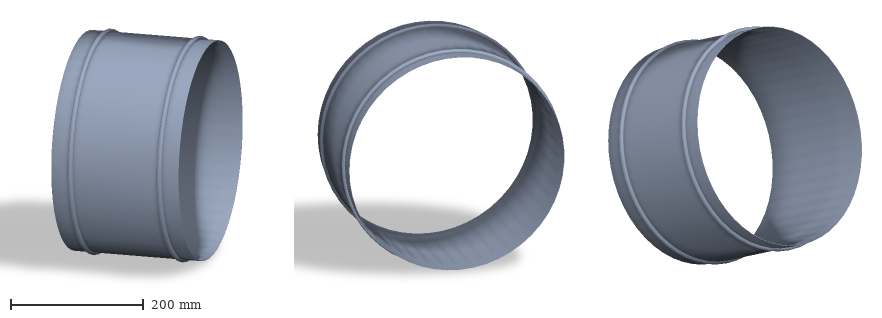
import cadquery as cq

length = 200.0
bead_outer_diameter = 342.0
bead_height = 4.0
bead_width = 8.2
bead_inset = 30.0
wall = 0.7

tube_radius = bead_outer_diameter / 2 - bead_height
bore_radius = tube_radius - wall
bead_positions = (-length / 2 + bead_inset, length / 2 - bead_inset)

section = (
    cq.Workplane("XY")
    .moveTo(-length / 2, bore_radius)
    .lineTo(-length / 2, tube_radius)
)
for x in bead_positions:
    section = section.lineTo(x - bead_width / 2, tube_radius)
    section = section.threePointArc(
        (x, tube_radius + bead_height),
        (x + bead_width / 2, tube_radius),
    )
section = section.lineTo(length / 2, tube_radius).lineTo(length / 2, bore_radius).close()

result = section.revolve(360, (0, 0, 0), (1, 0, 0))